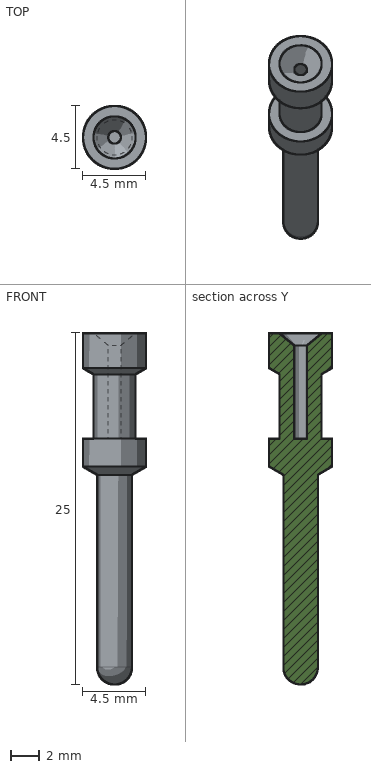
import cadquery as cq
import math

TOTAL_LENGTH = 25.0
FLANGE_DIAMETER = 4.5
NECK_DIAMETER = 3.0
PIN_DIAMETER = 2.5
HEAD_EDGE_HEIGHT = 2.5
COLLAR_TOP_Z = 17.5
COLLAR_EDGE_HEIGHT = 2.0
TAPER_ANGLE = 30.0

FUNNEL_DIAMETER = 3.0
FUNNEL_DEPTH = 0.87
BORE_DIAMETER = 0.9

flange_radius = FLANGE_DIAMETER / 2
neck_radius = NECK_DIAMETER / 2
pin_radius = PIN_DIAMETER / 2
taper_slope = math.tan(math.radians(TAPER_ANGLE))

head_edge_z = TOTAL_LENGTH - HEAD_EDGE_HEIGHT
head_taper_end_z = head_edge_z - (flange_radius - neck_radius) * taper_slope
collar_edge_z = COLLAR_TOP_Z - COLLAR_EDGE_HEIGHT
collar_taper_end_z = collar_edge_z - (flange_radius - pin_radius) * taper_slope


def make_body():
    """Head, neck, collar and round-tipped pin as one revolved profile."""
    dome_mid = pin_radius * math.sin(math.radians(45))
    profile = (
        cq.Workplane("XZ")
        .moveTo(0, 0)
        .threePointArc((dome_mid, pin_radius - dome_mid), (pin_radius, pin_radius))
        .lineTo(pin_radius, collar_taper_end_z)
        .lineTo(flange_radius, collar_edge_z)
        .lineTo(flange_radius, COLLAR_TOP_Z)
        .lineTo(neck_radius, COLLAR_TOP_Z)
        .lineTo(neck_radius, head_taper_end_z)
        .lineTo(flange_radius, head_edge_z)
        .lineTo(flange_radius, TOTAL_LENGTH)
        .lineTo(0, TOTAL_LENGTH)
        .close()
    )
    return profile.revolve(360, (0, 0), (0, 1))


def make_wire_hole():
    """Conical lead-in in the head, opening into a blind bore along the neck."""
    bore_radius = BORE_DIAMETER / 2
    profile = (
        cq.Workplane("XZ")
        .moveTo(0, COLLAR_TOP_Z)
        .lineTo(bore_radius, COLLAR_TOP_Z)
        .lineTo(bore_radius, TOTAL_LENGTH - FUNNEL_DEPTH)
        .lineTo(FUNNEL_DIAMETER / 2, TOTAL_LENGTH)
        .lineTo(0, TOTAL_LENGTH)
        .close()
    )
    return profile.revolve(360, (0, 0), (0, 1))


result = make_body().cut(make_wire_hole())